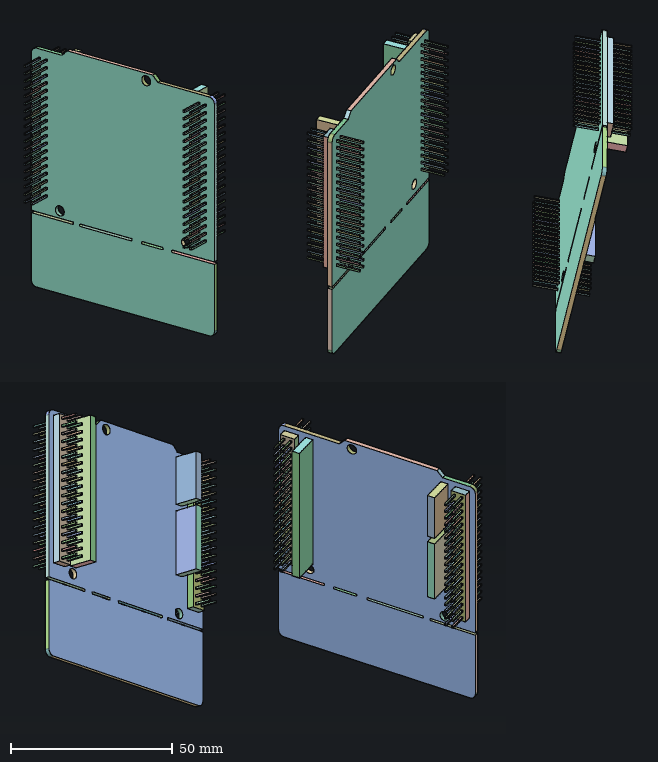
import cadquery as cq

BOARD_WIDTH = 70.0
BOARD_HEIGHT = 82.5
BOARD_THICKNESS = 1.6
CORNER_RADIUS = 2.0

TAB_HEIGHT = 2.0
TAB_LEFT = 11.6
TAB_RIGHT = 48.4
SHOULDER_Z = BOARD_HEIGHT - TAB_HEIGHT

HOLE_DIAMETER = 3.3
HOLE_CENTERS = [(43.9, 79.95), (59.1, 29.1), (10.9, 27.9)]

SLOT_WIDTH = 0.8
SLOT_Z = 25.0
BRIDGES = [(16.1, 18.5), (38.5, 42.2), (50.4, 53.65)]

PITCH = 2.54
PIN_ROWS = 19
PIN_COLUMNS = 2
PIN_SIZE = 0.64
PIN_FRONT_LENGTH = 8.0
PIN_BACK_LENGTH = 8.48
HEADER_CENTER_INSET = 4.6
HEADER_CENTER_Z = 54.59
HEADER_WIDTH = PIN_COLUMNS * PITCH
HEADER_LENGTH = PIN_ROWS * PITCH
HEADER_DEPTH = 2.5
HEADER_CENTERS_X = [HEADER_CENTER_INSET, BOARD_WIDTH - HEADER_CENTER_INSET]

SOCKET_WIDTH = PITCH
SOCKET_DEPTH = PIN_BACK_LENGTH
SOCKET_CENTER_INSET = 10.95
SOCKET_TOP_Z = 78.8
LEFT_UPPER_SOCKET_BOTTOM_Z = 63.3
LEFT_LOWER_SOCKET_TOP_Z = 61.2
LEFT_LOWER_SOCKET_BOTTOM_Z = 40.25
RIGHT_SOCKET_BOTTOM_Z = 31.3


def box_between(x_range, y_range, z_range):
    """Box that fills the given ranges along X, Y and Z."""
    size = [high - low for low, high in (x_range, y_range, z_range)]
    corner = (x_range[0], y_range[0], z_range[0])
    return cq.Workplane("XY").box(*size, centered=False).translate(corner)


def centered_range(center, length):
    return (center - length / 2, center + length / 2)


def extrude_back(sketch, depth):
    """Extrude an XZ sketch toward +Y."""
    return sketch.extrude(-depth)


def make_board():
    panel = box_between((0, BOARD_WIDTH), (0, BOARD_THICKNESS), (0, SHOULDER_Z))
    panel = panel.edges("|Y").fillet(CORNER_RADIUS)
    tab_outline = (
        cq.Workplane("XZ")
        .moveTo(TAB_LEFT, SHOULDER_Z)
        .lineTo(TAB_LEFT + TAB_HEIGHT, BOARD_HEIGHT)
        .lineTo(TAB_RIGHT - TAB_HEIGHT, BOARD_HEIGHT)
        .lineTo(TAB_RIGHT, SHOULDER_Z)
        .close()
    )
    return panel.union(extrude_back(tab_outline, BOARD_THICKNESS)).clean()


def make_holes():
    circles = cq.Workplane("XZ").pushPoints(HOLE_CENTERS).circle(HOLE_DIAMETER / 2)
    return extrude_back(circles, BOARD_THICKNESS)


def make_slots():
    """Round-ended slots between the bridges; the outer two run out through the board sides."""
    starts = [-SLOT_WIDTH] + [right for left, right in BRIDGES]
    ends = [left for left, right in BRIDGES] + [BOARD_WIDTH + SLOT_WIDTH]
    slots = cq.Workplane("XZ")
    for start, end in zip(starts, ends):
        slots = slots.moveTo((start + end) / 2, SLOT_Z).slot2D(end - start, SLOT_WIDTH)
    return extrude_back(slots, BOARD_THICKNESS)


def make_header(center_x):
    """Header block on the back face with all its pins, which pass through the board."""
    header = box_between(
        centered_range(center_x, HEADER_WIDTH),
        (BOARD_THICKNESS, BOARD_THICKNESS + HEADER_DEPTH),
        centered_range(HEADER_CENTER_Z, HEADER_LENGTH),
    )
    pin_length = PIN_FRONT_LENGTH + BOARD_THICKNESS + PIN_BACK_LENGTH
    pin_profiles = (
        cq.Workplane("XZ", origin=(center_x, -PIN_FRONT_LENGTH, HEADER_CENTER_Z))
        .rarray(PITCH, PITCH, PIN_COLUMNS, PIN_ROWS)
        .rect(PIN_SIZE, PIN_SIZE)
    )
    return header.union(extrude_back(pin_profiles, pin_length))


def make_socket(center_x, bottom_z, top_z):
    return box_between(
        centered_range(center_x, SOCKET_WIDTH),
        (BOARD_THICKNESS, BOARD_THICKNESS + SOCKET_DEPTH),
        (bottom_z, top_z),
    )


def make_sockets():
    """Two strips on the left and one long strip on the right."""
    left_x = SOCKET_CENTER_INSET
    right_x = BOARD_WIDTH - SOCKET_CENTER_INSET
    sockets = make_socket(left_x, LEFT_UPPER_SOCKET_BOTTOM_Z, SOCKET_TOP_Z)
    sockets = sockets.union(make_socket(left_x, LEFT_LOWER_SOCKET_BOTTOM_Z, LEFT_LOWER_SOCKET_TOP_Z))
    return sockets.union(make_socket(right_x, RIGHT_SOCKET_BOTTOM_Z, SOCKET_TOP_Z))


result = make_board().cut(make_holes()).cut(make_slots())
for header_x in HEADER_CENTERS_X:
    result = result.union(make_header(header_x))
result = result.union(make_sockets())